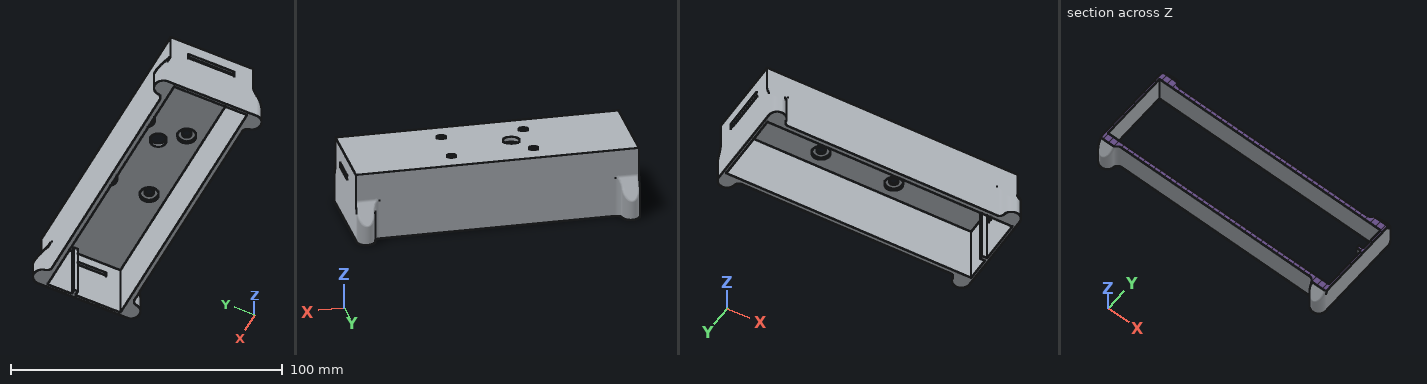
import cadquery as cq
import math

LENGTH = 107.0
WIDTH = 34.0
HEIGHT = 26.75
SIDE_WALL = 2.0
END_WALL = 1.25
ROOF = 2.0
HALF_LENGTH = LENGTH / 2
HALF_WIDTH = WIDTH / 2

OVERALL_WIDTH = 43.5
FOOT_RADIUS = 3.5
FOOT_BLEND_RADIUS = 2.0
FOOT_SLOPE_ANGLE = 60.0
FOOT_SLOPE_TOP = 15.7
FOOT_EDGE_FILLET = 1.0
FOOT_ROOT_FILLET = 2.0
FOOT_TIP_Y = -OVERALL_WIDTH / 2
FOOT_ROOT_DEPTH = 1.0

SCREW_DIAMETER = 3.4
SCREW_RECESS_DIAMETER = 7.0
SCREW_SEAT = 0.8
SCREW_XS = (-15.55, 15.45)
SCREW_Y = 8.5
CABLE_HOLE_DIAMETER = 6.2
CABLE_HOLE_X = -9.05

SLOT_BOTTOM = 18.35
SLOT_LOW_Y = -9.25
LEFT_SLOT_WIDTH = 19.0
LEFT_SLOT_HEIGHT = 2.3
RIGHT_SLOT_WIDTH = 11.7
RIGHT_SLOT_HEIGHT = 1.7

RIB_THICKNESS = 1.55
RIB_Y = 4.25
RIB_LENGTH = 2.0


def standing_box(length, width, height):
    """Box standing on Z = 0 and centered on X and Y."""
    return cq.Workplane("XY").box(length, width, height, centered=(True, True, False))


def foot_prism():
    """Upright foot of the (-X, -Y) corner, blended into the long side."""
    center_x = -HALF_LENGTH + FOOT_RADIUS
    center_y = FOOT_TIP_Y + FOOT_RADIUS
    center_distance = FOOT_RADIUS + FOOT_BLEND_RADIUS
    blend_y = -HALF_WIDTH - FOOT_BLEND_RADIUS
    turn = math.asin((blend_y - center_y) / center_distance)
    blend_x = center_x + center_distance * math.cos(turn)

    def on_foot(angle):
        return (center_x + FOOT_RADIUS * math.cos(angle), center_y + FOOT_RADIUS * math.sin(angle))

    def on_blend(angle):
        return (blend_x + FOOT_BLEND_RADIUS * math.cos(angle), blend_y + FOOT_BLEND_RADIUS * math.sin(angle))

    inner_y = -HALF_WIDTH + FOOT_ROOT_DEPTH
    return (
        cq.Workplane("XY")
        .moveTo(-HALF_LENGTH, inner_y)
        .lineTo(-HALF_LENGTH, center_y)
        .threePointArc(on_foot((turn - math.pi) / 2), on_foot(turn))
        .threePointArc(on_blend((turn + math.pi + math.pi / 2) / 2), (blend_x, -HALF_WIDTH))
        .lineTo(blend_x, inner_y)
        .close()
        .extrude(HEIGHT)
    )


def above_slope():
    """Space above the sloping top of the -Y feet."""
    rise = math.tan(math.radians(FOOT_SLOPE_ANGLE))
    inner_y = -HALF_WIDTH + FOOT_ROOT_DEPTH
    outer_y = FOOT_TIP_Y - FOOT_RADIUS

    def slope_z(y):
        return FOOT_SLOPE_TOP + rise * (y + HALF_WIDTH)

    outline = [
        (inner_y, slope_z(inner_y)),
        (outer_y, slope_z(outer_y)),
        (outer_y, 2 * HEIGHT),
        (inner_y, 2 * HEIGHT),
    ]
    return cq.Workplane("YZ").polyline(outline).close().extrude(LENGTH, both=True)


def quarter_block():
    """Solid (-X, -Y) quarter of the box with its foot.

    The block starts longer than the box so that the root fillet can run past
    the end face, and is then trimmed.
    """
    foot_x = -HALF_LENGTH + FOOT_RADIUS
    slope_point = (foot_x, -HALF_WIDTH - FOOT_RADIUS / 2, FOOT_SLOPE_TOP - FOOT_RADIUS)
    root_point = (foot_x, -HALF_WIDTH, FOOT_SLOPE_TOP)
    foot = foot_prism().cut(above_slope())
    slope_face = foot.faces(cq.selectors.NearestToPointSelector(slope_point))
    foot = slope_face.edges("<X").fillet(FOOT_EDGE_FILLET)

    block = standing_box(LENGTH + 4 * FOOT_RADIUS, WIDTH, HEIGHT).union(foot)
    root_edge = block.edges(cq.selectors.NearestToPointSelector(root_point))
    block = root_edge.fillet(FOOT_ROOT_FILLET)
    quarter = cq.Workplane("XY").box(HALF_LENGTH, OVERALL_WIDTH, HEIGHT, centered=False)
    return block.intersect(quarter.translate((-HALF_LENGTH, -OVERALL_WIDTH, 0)))


def solid_block():
    """Box with all four feet, before hollowing."""
    quarter = quarter_block()
    half = quarter.union(quarter.mirror("XZ"))
    return half.union(half.mirror("YZ")).clean()


def cavity():
    """Inside of the box, less the rib on the +X end wall."""
    space = standing_box(LENGTH - 2 * END_WALL, WIDTH - 2 * SIDE_WALL, HEIGHT - ROOF)
    rib = standing_box(RIB_LENGTH, RIB_THICKNESS, HEIGHT)
    return space.cut(rib.translate((HALF_LENGTH - END_WALL - RIB_LENGTH / 2, RIB_Y, 0)))


def hole_tool(diameter, x, y, top_z):
    """Upright cylinder from the open bottom up to top_z."""
    return cq.Workplane("XY").center(x, y).circle(diameter / 2).extrude(top_z)


def end_slot(wall_x, width, height):
    """Slot through the end wall whose low X side is at wall_x."""
    slot = cq.Workplane("XY").box(END_WALL, width, height, centered=False)
    return slot.translate((wall_x, SLOT_LOW_Y, SLOT_BOTTOM))


result = solid_block().cut(cavity())
for screw_x in SCREW_XS:
    for screw_y in (-SCREW_Y, SCREW_Y):
        result = result.cut(hole_tool(SCREW_DIAMETER, screw_x, screw_y, HEIGHT))
        result = result.cut(hole_tool(SCREW_RECESS_DIAMETER, screw_x, screw_y, HEIGHT - SCREW_SEAT))
result = result.cut(hole_tool(CABLE_HOLE_DIAMETER, CABLE_HOLE_X, 0, HEIGHT))
result = result.cut(end_slot(-HALF_LENGTH, LEFT_SLOT_WIDTH, LEFT_SLOT_HEIGHT))
result = result.cut(end_slot(HALF_LENGTH - END_WALL, RIGHT_SLOT_WIDTH, RIGHT_SLOT_HEIGHT))